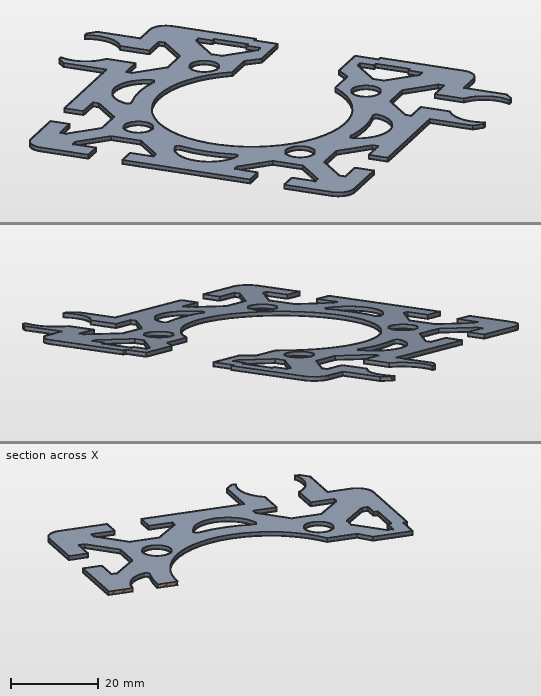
import cadquery as cq

thickness = 1.0
body_size = 80.0
body_half = body_size / 2
corner_radius = 4.0
overall_length = 105.0

hole_diameter = 6.8
module_offset = body_size / 4

slot_mouth_half = 4.2
slot_lip = 4.7
slot_side = 1.5
slot_depth = 12.5
slot_half = 10.0

window_half = 7.7
step_height = 1.0

bore_radius = 23.0
passage_half = 12.7
throat_half = 9.6
passage_top = 26.6
throat_bottom = 29.2
top_step_half = 15.3

crescent_inner_radius = 27.9
crescent_tip_distance = 34.0
crescent_outer_radius = 8.0
crescent_corner_radius = 0.8

arm_half = 10.3
arm_chamfer = 1.9
grip_radius = 8.0
grip_offset = 9.2


def prism(points):
    """Extrude a closed polygon to the plate thickness."""
    return cq.Workplane("XY").polyline(points).close().extrude(thickness)


def block(x_min, x_max, y_min, y_max):
    """Extrude an axis-aligned rectangle to the plate thickness."""
    return prism([(x_min, y_min), (x_max, y_min), (x_max, y_max), (x_min, y_max)])


def disc(x, y, radius):
    """Extrude a circle to the plate thickness."""
    return cq.Workplane("XY").center(x, y).circle(radius).extrude(thickness)


def turned(shape, angle):
    """Turn a shape about the plate's central axis."""
    return shape.rotate((0, 0, 0), (0, 0, 1), angle)


def mirrored(shape):
    """Join a shape with its mirror image across the YZ plane."""
    return shape.union(shape.mirror("YZ"))


def top_slot(center, half_width, mouth_top):
    """T-slot along the top edge: a wide cavity tapering inward and a mouth reaching up to mouth_top."""
    lip_y = body_half - slot_lip
    taper_y = lip_y - slot_side
    floor_y = body_half - slot_depth
    floor_half = half_width - (taper_y - floor_y)
    return prism([
        (center - slot_mouth_half, mouth_top),
        (center - slot_mouth_half, lip_y),
        (center - half_width, lip_y),
        (center - half_width, taper_y),
        (center - floor_half, floor_y),
        (center + floor_half, floor_y),
        (center + half_width, taper_y),
        (center + half_width, lip_y),
        (center + slot_mouth_half, lip_y),
        (center + slot_mouth_half, mouth_top),
    ])


def make_arms():
    """Right-hand pair of arms, filled between; the slot and grip circle part them later."""
    tip_x = overall_length / 2
    root_x = body_half - slot_lip
    return prism([
        (root_x, module_offset - arm_half),
        (tip_x - arm_chamfer, module_offset - arm_half),
        (tip_x, module_offset - arm_half + arm_chamfer),
        (tip_x, module_offset + arm_half - arm_chamfer),
        (tip_x - arm_chamfer, module_offset + arm_half),
        (root_x, module_offset + arm_half),
    ])


def make_passage():
    """Stepped passage from the bore to the top edge, with a shallow step beside its exit."""
    throat = prism([
        (-passage_half, 0),
        (passage_half, 0),
        (passage_half, passage_top),
        (throat_half, throat_bottom),
        (throat_half, body_half),
        (-throat_half, body_half),
        (-throat_half, throat_bottom),
        (-passage_half, passage_top),
    ])
    step = block(-top_step_half, top_step_half, body_half - step_height, body_half)
    return throat.union(step)


def make_crescent():
    """Upper crescent: a small disc minus a disc concentric with the bore."""
    center_y = crescent_tip_distance - crescent_outer_radius
    crescent = disc(0, center_y, crescent_outer_radius).cut(disc(0, 0, crescent_inner_radius))
    return crescent.edges("|Z").edges("<X or >X").fillet(crescent_corner_radius)


plate = cq.Workplane("XY").rect(body_size, body_size).extrude(thickness)
plate = plate.edges("|Z").fillet(corner_radius)
plate = plate.union(mirrored(make_arms()))

plate = plate.cut(disc(0, 0, bore_radius)).cut(make_passage())

arm_slot = turned(top_slot(module_offset, slot_half, overall_length / 2), 90)
grip = disc(-body_half - grip_offset, module_offset, grip_radius)
plate = plate.cut(mirrored(arm_slot.union(grip)))

lower_side_slot = turned(top_slot(-module_offset, slot_half, body_half), 90)
bottom_slot = turned(top_slot(module_offset, slot_half, body_half), 180)
plate = plate.cut(mirrored(lower_side_slot)).cut(mirrored(bottom_slot))

window = top_slot(module_offset, window_half, body_half - slot_lip + step_height)
plate = plate.cut(mirrored(window))

for angle in (90, 180, 270):
    plate = plate.cut(turned(make_crescent(), angle))

for x in (-module_offset, module_offset):
    for y in (-module_offset, module_offset):
        plate = plate.cut(disc(x, y, hole_diameter / 2))

result = plate